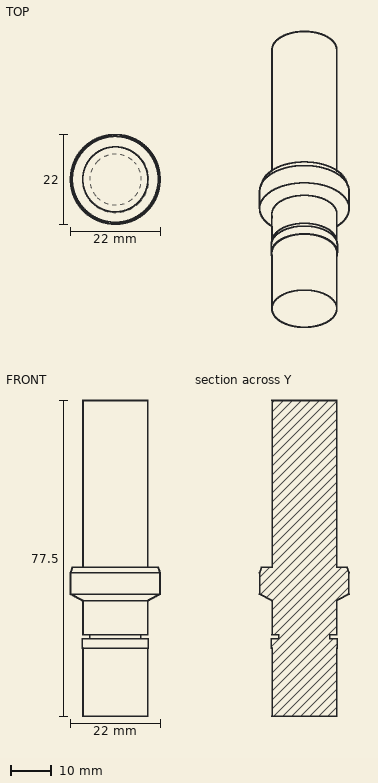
import cadquery as cq

TOTAL_LENGTH = 77.5
SHAFT_RADIUS = 8.0

COLLAR_RADIUS = 11.0
COLLAR_TOP = 36.6
TOP_BEVEL_HEIGHT = 1.4
TOP_BEVEL_WIDTH = 0.5
RIM_HEIGHT = 5.2
CONE_HEIGHT = 1.6

GROOVE_RADIUS = 6.3
GROOVE_BOTTOM = 19.1
GROOVE_WIDTH = 0.9

BAND_RADIUS = 8.1
BAND_HEIGHT = 2.3

RIM_TOP = COLLAR_TOP - TOP_BEVEL_HEIGHT
RIM_BOTTOM = RIM_TOP - RIM_HEIGHT
CONE_BOTTOM = RIM_BOTTOM - CONE_HEIGHT


def make_shaft():
    """Plain round shaft standing on the XY plane."""
    return cq.Workplane("XY").circle(SHAFT_RADIUS).extrude(TOTAL_LENGTH)


def make_collar():
    """Collar revolved about Z from its half profile."""
    half_profile = [
        (0, CONE_BOTTOM),
        (SHAFT_RADIUS, CONE_BOTTOM),
        (COLLAR_RADIUS, RIM_BOTTOM),
        (COLLAR_RADIUS, RIM_TOP),
        (COLLAR_RADIUS - TOP_BEVEL_WIDTH, COLLAR_TOP),
        (0, COLLAR_TOP),
    ]
    return cq.Workplane("XZ").polyline(half_profile).close().revolve(360, (0, 0), (0, 1))


def make_band():
    """Raised band whose upper edge meets the groove."""
    return (
        cq.Workplane("XY", origin=(0, 0, GROOVE_BOTTOM - BAND_HEIGHT))
        .circle(BAND_RADIUS)
        .extrude(BAND_HEIGHT)
    )


def make_groove():
    """Ring of material removed to form the groove."""
    return (
        cq.Workplane("XY", origin=(0, 0, GROOVE_BOTTOM))
        .circle(COLLAR_RADIUS)
        .circle(GROOVE_RADIUS)
        .extrude(GROOVE_WIDTH)
    )


result = make_shaft().union(make_collar()).union(make_band()).cut(make_groove())